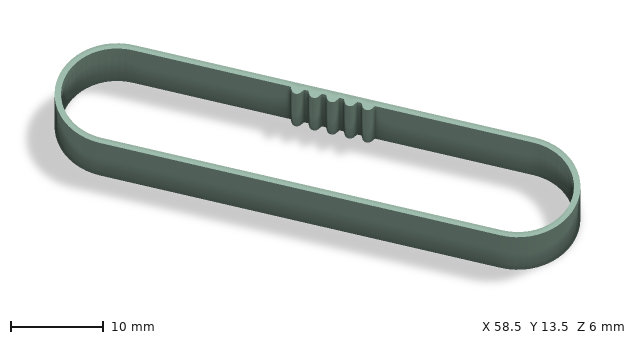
import cadquery as cq

length = 58.5
width = 13.5
height = 6.0
wall = 0.7

tooth_count = 5
tooth_pitch = 2.0
tooth_depth = 0.75
tooth_root_width = 1.5
tooth_shoulder_width = 1.0
tooth_tip_rise = 0.3

inner_face_y = width / 2 - wall


def stadium(inset):
    """Solid stadium, drawn in from the outer outline by the inset."""
    return (
        cq.Workplane("XY")
        .slot2D(length - 2 * inset, width - 2 * inset)
        .extrude(height)
    )


def tooth(center_x):
    """Full-height tooth with sloped flanks and a round tip, sunk halfway into the wall."""
    embedded_y = inner_face_y + wall / 2
    tip_y = inner_face_y - tooth_depth
    shoulder_y = tip_y + tooth_tip_rise
    half_root = tooth_root_width / 2
    half_shoulder = tooth_shoulder_width / 2
    return (
        cq.Workplane("XY")
        .center(center_x, 0)
        .moveTo(-half_root, embedded_y)
        .lineTo(-half_root, inner_face_y)
        .lineTo(-half_shoulder, shoulder_y)
        .threePointArc((0, tip_y), (half_shoulder, shoulder_y))
        .lineTo(half_root, inner_face_y)
        .lineTo(half_root, embedded_y)
        .close()
        .extrude(height)
    )


result = stadium(0).cut(stadium(wall))
for index in range(tooth_count):
    offset = index - (tooth_count - 1) / 2
    result = result.union(tooth(offset * tooth_pitch))